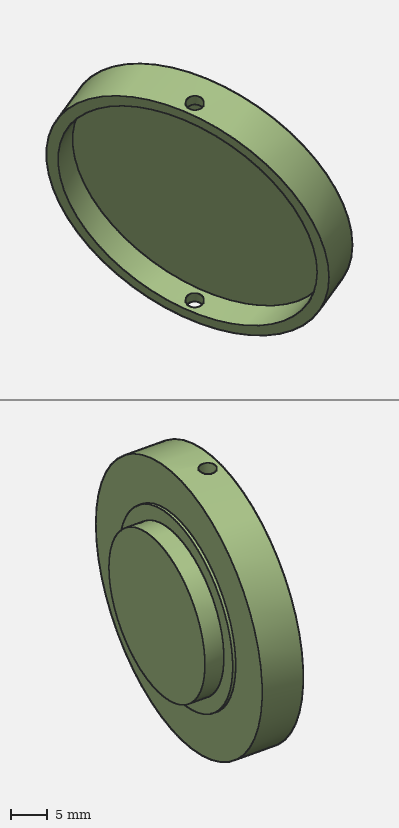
import cadquery as cq

rim_diameter = 44.0
rim_width = 6.5
pocket_diameter = 40.3
pocket_depth = 4.0

shoulder_diameter = 30.0
shoulder_width = 0.5
hub_diameter = 25.4
hub_width = 3.0

cross_hole_diameter = 2.5
cross_hole_setback = 2.0


def disc(diameter, start_y, width):
    """Solid cylinder about the Y axis, from start_y towards +Y."""
    return cq.Workplane("XZ", origin=(0, start_y, 0)).circle(diameter / 2).extrude(-width)


shoulder_start = rim_width
hub_start = shoulder_start + shoulder_width
body = (
    disc(rim_diameter, 0, rim_width)
    .union(disc(shoulder_diameter, shoulder_start, shoulder_width))
    .union(disc(hub_diameter, hub_start, hub_width))
)

pocket = disc(pocket_diameter, 0, pocket_depth)

cross_hole = (
    cq.Workplane("XY")
    .center(0, cross_hole_setback)
    .circle(cross_hole_diameter / 2)
    .extrude(rim_diameter / 2, both=True)
)

result = body.cut(pocket).cut(cross_hole)